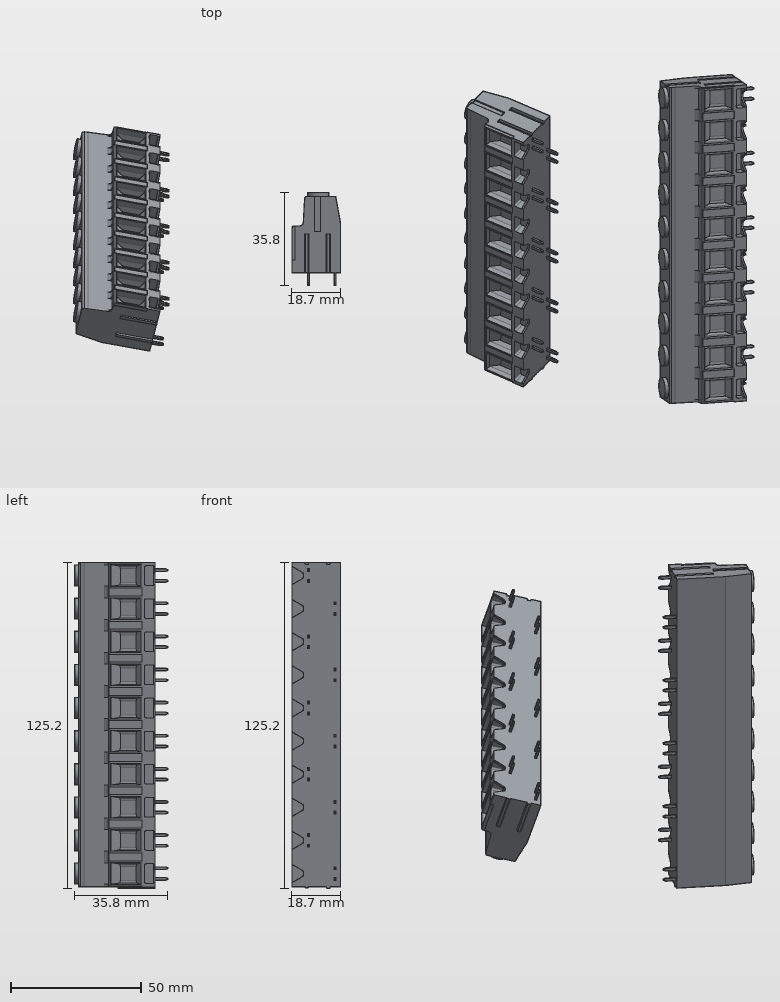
import cadquery as cq
import math


pole_count = 10
pitch = 12.7
end_margin = 5.08
depth = 18.7
height = 29.4
length = (pole_count - 1) * pitch + 2 * end_margin
half_length = length / 2
pole_levels = [(i - (pole_count - 1) / 2) * pitch for i in range(pole_count)]

step_y = 18.0
step_edge_x = 0.3
step_edge_y = 0.7
wall_foot_x = 4.25
wall_top_x = 4.75
wall_top_y = 27.3
shoulder_x = 4.9
shoulder_y = 28.65
roof_front_x = 5.3
roof_back_x = 16.8
back_slope_y = 18.9

gusset_radius = 1.5
gusset_gap_half = 4.1

frame_half = 4.85
frame_bottom_y = 5.0
frame_groove_depth = 0.15
end_rabbet_depth = 1.2

mouth_half = 4.14
mouth_low_y = 5.45
mouth_high_y = 16.9
straight_depth = 2.3
funnel_depth = 4.5
funnel_half = 3.65
back_depth = 4.7
back_half = 2.63
back_low_y = 7.3
back_high_y = 13.35

notch_half = 3.77
notch_top_y = 4.15
notch_corner = 0.75
notch_depth = 4.5
lip_thickness = 0.75
lip_opening_half = 3.5
lip_slope = math.radians(30)
lip_tip_radius = 1.6

screw_x = 10.1
screw_diameter = 8.1
screw_height = 1.5

overall_height = 35.8
pin_row_spacing = 10.16
pins_front_x = 6.4
pins_back_x = pins_front_x + pin_row_spacing
pin_offset = 2.05
pin_thickness = 0.8
pin_width = 1.1
pin_length = overall_height - height - screw_height
pin_tip_length = 1.0
pin_tip_width = 0.4

key_centres_x = [5.7, 13.96]
key_base_width = 1.7
key_crest_width = 1.0
key_groove_depth = 0.9
key_tongue_heights = [0.4, 0.75]
key_groove_top_y = 15.0
key_tongue_top_y = 14.3
roof_slot_left_x = 8.67
roof_slot_right_x = 10.9
roof_slot_bottom_y = 15.8
roof_slot_depth = 0.5


def box(x0, x1, y0, y1, z0, z1):
    """Axis-aligned box between two opposite corners."""
    return cq.Workplane("XY").box(x1 - x0, y1 - y0, z1 - z0, centered=False).translate((x0, y0, z0))


def bar(outline, z0, z1):
    """Outline drawn on XY, extruded from z0 to z1."""
    return outline.extrude(z1 - z0).translate((0, 0, z0))


def housing():
    outline = (
        cq.Workplane("XY")
        .moveTo(0, 0)
        .lineTo(depth, 0)
        .lineTo(depth, back_slope_y)
        .lineTo(roof_back_x, height)
        .lineTo(roof_front_x, height)
        .lineTo(shoulder_x, shoulder_y)
        .lineTo(wall_top_x, wall_top_y)
        .lineTo(wall_foot_x, step_y)
        .lineTo(step_edge_x, step_y)
        .lineTo(0, step_y - step_edge_y)
        .close()
    )
    return bar(outline, -half_length, half_length)


def gusset(z0, z1):
    """Concave quarter-round fill in the corner between ledge and wall."""
    lean = (wall_top_x - wall_foot_x) / (wall_top_y - step_y)
    wall_x = wall_foot_x + lean * gusset_radius
    diagonal = gusset_radius * (1 - math.sqrt(0.5))
    outline = (
        cq.Workplane("XY")
        .moveTo(wall_foot_x, step_y)
        .lineTo(wall_x, step_y + gusset_radius)
        .threePointArc(
            (wall_foot_x - diagonal, step_y + diagonal),
            (wall_foot_x - gusset_radius, step_y),
        )
        .close()
    )
    return bar(outline, z0, z1)


def gaps_between(half):
    """Z ranges left free by a band of the given half-length round every pole."""
    starts = [-half_length] + [z + half for z in pole_levels]
    ends = [z - half for z in pole_levels] + [half_length]
    return list(zip(starts, ends))


def frame_grooves():
    """Shallow grooves between the entry frames, and a deeper rabbet at each end."""
    gaps = gaps_between(frame_half)
    cuts = []
    for z0, z1 in gaps:
        groove_depth = end_rabbet_depth if (z0, z1) in (gaps[0], gaps[-1]) else frame_groove_depth
        cuts.append(box(0, groove_depth, frame_bottom_y, step_y, z0, z1))
    return cuts


def wire_entry():
    """Straight mouth narrowing to a flat back: a side outline crossed with a plan outline."""
    side = bar(
        cq.Workplane("XY")
        .polyline([
            (0, mouth_low_y),
            (straight_depth, mouth_low_y),
            (back_depth, back_low_y),
            (back_depth, back_high_y),
            (straight_depth, mouth_high_y),
            (0, mouth_high_y),
        ])
        .close(),
        -mouth_half, mouth_half,
    )
    plan = (
        cq.Workplane("XZ")
        .polyline([
            (0, -mouth_half),
            (straight_depth, -mouth_half),
            (funnel_depth, -funnel_half),
            (back_depth, -back_half),
            (back_depth, back_half),
            (funnel_depth, funnel_half),
            (straight_depth, mouth_half),
            (0, mouth_half),
        ])
        .close()
        .extrude(-step_y)
    )
    return side.intersect(plan)


def foot_notch():
    """Rounded pocket in the front face whose lower lip has a V opening with a round tip."""
    pocket = (
        box(0, notch_depth, lip_thickness, notch_top_y, -notch_half, notch_half)
        .edges("|X and >Y")
        .fillet(notch_corner)
    )
    tip_x = notch_depth - lip_tip_radius
    tangent_x = tip_x + lip_tip_radius * math.sin(lip_slope)
    tangent_z = lip_tip_radius * math.cos(lip_slope)
    opening = (
        cq.Workplane("XZ")
        .moveTo(0, -lip_opening_half)
        .lineTo(tangent_x, -tangent_z)
        .threePointArc((notch_depth, 0), (tangent_x, tangent_z))
        .lineTo(0, lip_opening_half)
        .close()
        .extrude(-lip_thickness)
    )
    return pocket.union(opening)


def screw():
    return (
        cq.Workplane("XZ", origin=(screw_x, height, 0))
        .circle(screw_diameter / 2)
        .extrude(-screw_height)
    )


def pin(x, z):
    """Flat pin whose last stretch narrows in Z."""
    half = pin_width / 2
    tip_half = pin_tip_width / 2
    return (
        cq.Workplane("YZ", origin=(x - pin_thickness / 2, 0, z))
        .polyline([
            (0, -half),
            (0, half),
            (pin_tip_length - pin_length, half),
            (-pin_length, tip_half),
            (-pin_length, -tip_half),
            (pin_tip_length - pin_length, -half),
        ])
        .close()
        .extrude(pin_thickness)
    )


def key(x, base_z, key_height, top_y):
    """Trapezoidal key along Y, wide at base_z and narrowing downwards."""
    base = key_base_width / 2
    crest = key_crest_width / 2
    return (
        cq.Workplane("XZ")
        .polyline([
            (x - base, base_z),
            (x + base, base_z),
            (x + crest, base_z - key_height),
            (x - crest, base_z - key_height),
        ])
        .close()
        .extrude(-top_y)
    )


def roof_slot():
    return box(
        roof_slot_left_x, roof_slot_right_x,
        roof_slot_bottom_y, height,
        half_length - roof_slot_depth, half_length,
    )


result = housing()

for gap_start, gap_end in gaps_between(gusset_gap_half):
    result = result.union(gusset(gap_start, gap_end))

for cut in frame_grooves():
    result = result.cut(cut)

for number, level in enumerate(pole_levels):
    shift = (0, 0, level)
    result = result.cut(wire_entry().translate(shift)).cut(foot_notch().translate(shift))
    result = result.union(screw().translate(shift))
    pin_x = pins_back_x if number % 2 == 0 else pins_front_x
    for offset in (-pin_offset, pin_offset):
        result = result.union(pin(pin_x, level + offset))

for key_x, tongue_height in zip(key_centres_x, key_tongue_heights):
    result = result.cut(key(key_x, half_length, key_groove_depth, key_groove_top_y))
    result = result.union(key(key_x, -half_length, tongue_height, key_tongue_top_y))

result = result.cut(roof_slot())